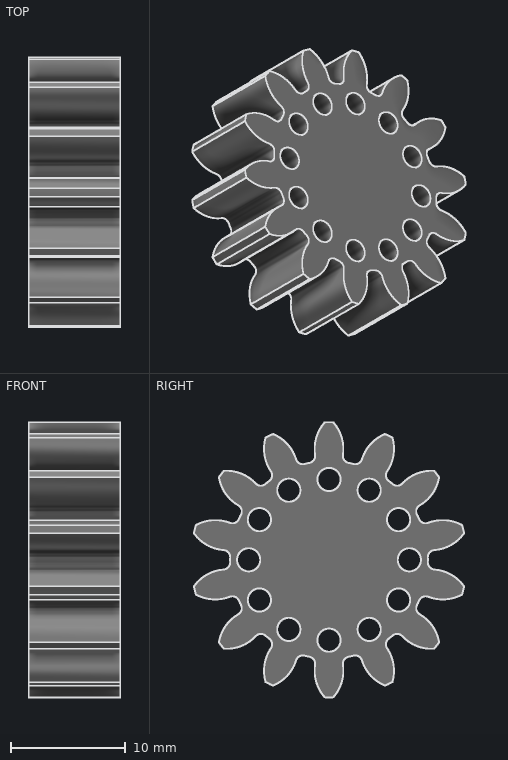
import cadquery as cq
import math

tooth_count = 14
module = 1.5
face_width = 8.0

addendum = module
dedendum = 1.25 * module
pitch_radius = module * tooth_count / 2
tip_radius = pitch_radius + addendum
root_radius = pitch_radius - dedendum
tooth_pitch = 2 * math.pi / tooth_count
tip_half_width = 0.366
widest_half_width = 1.265
flank_radius = 3.5
root_fillet_radius = 0.6

hole_count = 12
hole_diameter = 2.0
hole_circle_radius = 7.0


def polar(radius, angle):
    """Point at a given radius, with the angle measured clockwise from +Z."""
    return (radius * math.sin(angle), radius * math.cos(angle))


def point_towards(start, target, distance):
    """Point at a given distance from start on the line to target."""
    step = distance / math.dist(start, target)
    return (
        start[0] + step * (target[0] - start[0]),
        start[1] + step * (target[1] - start[1]),
    )


def half_tooth_corners():
    """Radius and angle of each point on the right half of the tooth centred on +Z.

    The points run from the tip corner down the convex flank arc, then round the
    concave fillet that is tangent to both the flank and the root circle.
    """
    tip_angle = math.asin(tip_half_width / tip_radius)
    tip = polar(tip_radius, tip_angle)

    centre_y = widest_half_width - flank_radius
    centre_z = tip[1] - math.sqrt(flank_radius**2 - (tip[0] - centre_y) ** 2)
    flank_centre = (centre_y, centre_z)

    centre_distance = math.hypot(centre_y, centre_z)
    to_root = root_radius + root_fillet_radius
    to_flank = flank_radius + root_fillet_radius
    cosine = (centre_distance**2 + to_root**2 - to_flank**2) / (2 * centre_distance * to_root)
    fillet_angle = math.atan2(centre_y, centre_z) + math.acos(cosine)
    fillet_centre = polar(to_root, fillet_angle)

    flank_end = point_towards(flank_centre, fillet_centre, flank_radius)
    root_end = polar(root_radius, fillet_angle)
    flank_chord_middle = ((tip[0] + flank_end[0]) / 2, (tip[1] + flank_end[1]) / 2)
    fillet_chord_middle = ((flank_end[0] + root_end[0]) / 2, (flank_end[1] + root_end[1]) / 2)
    points = (
        tip,
        point_towards(flank_centre, flank_chord_middle, flank_radius),
        flank_end,
        point_towards(fillet_centre, fillet_chord_middle, root_fillet_radius),
        root_end,
    )
    return [(math.hypot(y, z), math.atan2(y, z)) for y, z in points]


def gear_outline():
    """Closed gear profile in the YZ plane, drawn tooth by tooth from arcs."""
    corners = half_tooth_corners()
    root_end_angle = corners[-1][1]
    outline = cq.Workplane("YZ").moveTo(*polar(root_radius, -root_end_angle))

    for tooth in range(tooth_count):
        axis = tooth * tooth_pitch
        left = [polar(radius, axis - angle) for radius, angle in corners]
        right = [polar(radius, axis + angle) for radius, angle in corners]
        left_tip, left_flank_middle, left_flank_end, left_fillet_middle, _ = left
        right_tip, right_flank_middle, right_flank_end, right_fillet_middle, right_root = right
        crest = polar(tip_radius, axis)
        gap_middle = polar(root_radius, axis + tooth_pitch / 2)
        next_root = polar(root_radius, axis + tooth_pitch - root_end_angle)
        outline = (
            outline.threePointArc(left_fillet_middle, left_flank_end)
            .threePointArc(left_flank_middle, left_tip)
            .threePointArc(crest, right_tip)
            .threePointArc(right_flank_middle, right_flank_end)
            .threePointArc(right_fillet_middle, right_root)
            .threePointArc(gap_middle, next_root)
        )
    return outline.close()


def hole_ring():
    """Cylinders that cut the ring of holes, one of them on the +Y axis."""
    return (
        cq.Workplane("YZ")
        .polarArray(hole_circle_radius, 0, 360, hole_count)
        .circle(hole_diameter / 2)
        .extrude(face_width)
    )


result = gear_outline().extrude(face_width).cut(hole_ring())